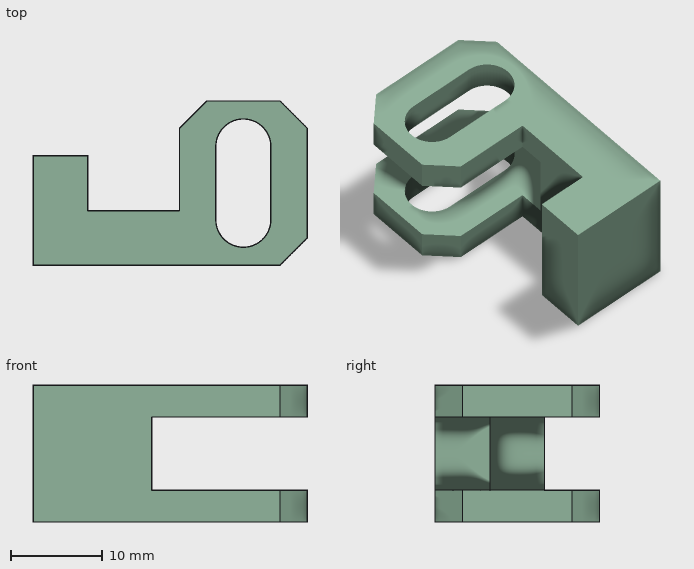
import cadquery as cq

length = 30.0
width = 18.0
height = 15.0

hook_width = 6.0
hook_top = 12.0
notch_floor = 6.0
head_start = 16.0
corner_cut = 3.0

slot_width = 6.0
slot_length = 14.0
slot_x = (head_start + length) / 2
slot_y = width / 2

gap_start = 13.0
gap_height = 8.0


def hook_body():
    """Solid hook with three bevelled corners on its head."""
    outline = [
        (0, 0),
        (length - corner_cut, 0),
        (length, corner_cut),
        (length, width - corner_cut),
        (length - corner_cut, width),
        (head_start + corner_cut, width),
        (head_start, width - corner_cut),
        (head_start, notch_floor),
        (hook_width, notch_floor),
        (hook_width, hook_top),
        (0, hook_top),
    ]
    return cq.Workplane("XY").polyline(outline).close().extrude(height)


def elongated_hole():
    """Vertical cutter with round ends, long along Y."""
    return (
        cq.Workplane("XY")
        .center(slot_x, slot_y)
        .slot2D(slot_length, slot_width, 90)
        .extrude(height)
    )


def arm_gap():
    """Cutter through the full width, centred on the height."""
    return (
        cq.Workplane("XY")
        .box(length - gap_start, width, gap_height, centered=False)
        .translate((gap_start, 0, (height - gap_height) / 2))
    )


result = hook_body().cut(arm_gap()).cut(elongated_hole())